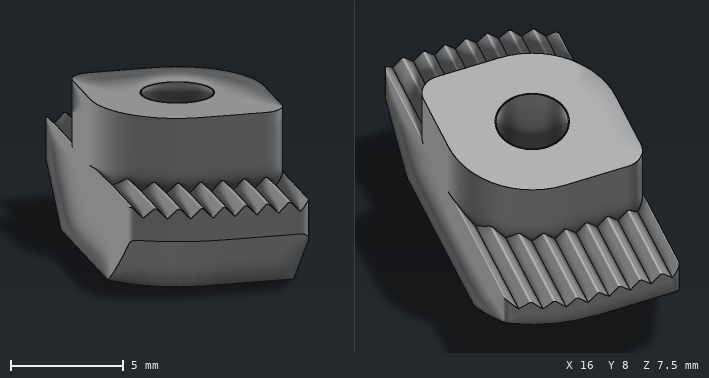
import cadquery as cq
import math

foot_length = 16.0
foot_width = 8.0
half_length = foot_length / 2
half_width = foot_width / 2
foot_corner_radius = 0.5
foot_bottom_length = 10.0
taper_height = (foot_length - foot_bottom_length) / 2
end_wall_height = 1.5

tooth_top = taper_height + end_wall_height
tooth_count = 8
tooth_pitch = foot_width / tooth_count
crest_radius = 0.1
edge_radius = 0.05

total_height = 7.5
neck_corner_radius = 1.0
neck_base = tooth_top - tooth_pitch

sleeve_outer_diameter = 3.3
sleeve_inner_diameter = 3.2


def round_opposite_corners(prism, x, y, radius):
    """Round the upright edge at (x, y) and the one half a turn away from it."""
    for side in (1, -1):
        corner = cq.selectors.NearestToPointSelector((side * x, side * y, total_height / 2))
        prism = prism.edges("|Z").edges(corner).fillet(radius)
    return prism


def arc_corner_x(half_x, half_y):
    """X where the arc of radius half_x about the origin meets the long side."""
    return math.sqrt(half_x**2 - half_y**2)


def half_turn_prism(half_x, half_y, base_z):
    """Prism with two square corners and two arc corners, alike after half a turn about Z."""
    arc_end_x = arc_corner_x(half_x, half_y)
    mid_angle = math.asin(half_y / half_x) / 2
    mid_x = half_x * math.cos(mid_angle)
    mid_y = half_x * math.sin(mid_angle)
    return (
        cq.Workplane("XY", origin=(0, 0, base_z))
        .moveTo(-half_x, -half_y)
        .lineTo(arc_end_x, -half_y)
        .threePointArc((mid_x, -mid_y), (half_x, 0))
        .lineTo(half_x, half_y)
        .lineTo(-arc_end_x, half_y)
        .threePointArc((-mid_x, mid_y), (-half_x, 0))
        .close()
        .extrude(total_height - base_z)
    )


def make_foot_plan():
    """Foot outline with all four corners rounded."""
    plan = half_turn_prism(half_length, half_width, 0)
    plan = round_opposite_corners(plan, half_length, half_width, foot_corner_radius)
    arc_end_x = arc_corner_x(half_length, half_width)
    return round_opposite_corners(plan, arc_end_x, -half_width, foot_corner_radius)


def make_taper():
    """Flat 45 degree ends in two opposite quadrants, a 45 degree cone in the other two."""
    half_section = [
        (0, 0),
        (foot_bottom_length / 2, 0),
        (half_length, taper_height),
        (half_length, total_height),
        (0, total_height),
    ]
    flat_end = cq.Workplane("XZ").polyline(half_section).close().extrude(-half_width)
    round_end = cq.Workplane("XZ").polyline(half_section).close().revolve(90, (0, 0, 0), (0, -1, 0))
    half = flat_end.union(round_end)
    return half.union(half.rotate((0, 0, 0), (0, 0, 1), 180))


def make_toothed_block():
    """Block whose top is a row of rounded 90 degree teeth across the width."""
    slope = math.sin(math.radians(45))
    sharp_top = tooth_top + crest_radius * (1 / slope - 1)
    valley_z = sharp_top - tooth_pitch / 2
    flank_dy = crest_radius * slope
    flank_z = tooth_top - crest_radius * (1 - slope)

    edge_center_y = half_width - edge_radius
    edge_center_z = sharp_top - edge_radius / math.tan(math.radians(45 / 2))
    edge_flank_y = edge_center_y - edge_radius * slope
    edge_flank_z = edge_center_z + edge_radius * slope
    bulge_angle = math.radians(135 / 2)
    edge_mid_y = edge_center_y + edge_radius * math.cos(bulge_angle)
    edge_mid_z = edge_center_z + edge_radius * math.sin(bulge_angle)

    profile = (
        cq.Workplane("YZ", origin=(-half_length, 0, 0))
        .moveTo(-half_width, 0)
        .lineTo(-half_width, edge_center_z)
        .threePointArc((-edge_mid_y, edge_mid_z), (-edge_flank_y, edge_flank_z))
    )
    for index in range(1, tooth_count):
        crest_y = -half_width + index * tooth_pitch
        profile = (
            profile.lineTo(crest_y - tooth_pitch / 2, valley_z)
            .lineTo(crest_y - flank_dy, flank_z)
            .threePointArc((crest_y, tooth_top), (crest_y + flank_dy, flank_z))
        )
    return (
        profile.lineTo(half_width - tooth_pitch / 2, valley_z)
        .lineTo(edge_flank_y, edge_flank_z)
        .threePointArc((edge_mid_y, edge_mid_z), (half_width, edge_center_z))
        .lineTo(half_width, 0)
        .close()
        .extrude(foot_length)
    )


def make_neck():
    """Square neck with two corners rounded small and two rounded to the full half width."""
    neck = half_turn_prism(half_width, half_width, neck_base)
    return round_opposite_corners(neck, half_width, half_width, neck_corner_radius)


def make_nut():
    """Toothed foot and neck in one piece, bored through for the sleeve."""
    foot = make_toothed_block().intersect(make_foot_plan()).intersect(make_taper())
    bore = cq.Workplane("XY").circle(sleeve_outer_diameter / 2).extrude(total_height)
    return foot.union(make_neck()).cut(bore)


def make_sleeve():
    """Thin tube lining the bore over its full height."""
    return (
        cq.Workplane("XY")
        .circle(sleeve_outer_diameter / 2)
        .circle(sleeve_inner_diameter / 2)
        .extrude(total_height)
    )


nut = make_nut()
sleeve = make_sleeve()
result = cq.Compound.makeCompound([nut.val(), sleeve.val()])